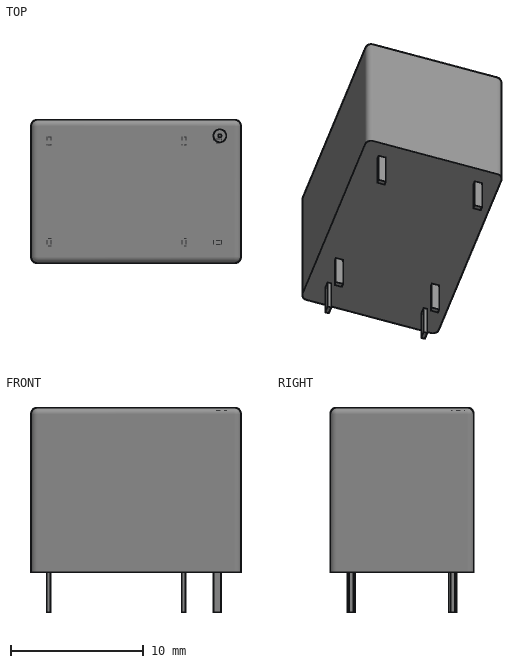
import cadquery as cq

case_length = 15.8
case_width = 10.8
case_height = 12.4
edge_radius = 0.49

pin_length = 3.0
pin_thickness = 0.3
pin_width = 0.58
pin_row_y = 3.8
coil_pin_x = -6.57
common_pin_x = 3.59
contact_pin_x = 6.11

mark_x = 6.3
mark_y = 4.19
mark_diameter = 0.96
mark_depth = 0.2
post_diameter = 0.25


def make_case():
    """Case with its bottom face at Z = 0, rounded everywhere except along the bottom."""
    block = cq.Workplane("XY").box(case_length, case_width, case_height, centered=(True, True, False))
    return block.edges("|Z or >Z").fillet(edge_radius)


def make_mark():
    """Ring-shaped cutter that leaves the central post standing."""
    return (
        cq.Workplane("XY", origin=(mark_x, mark_y, case_height - mark_depth))
        .circle(mark_diameter / 2)
        .circle(post_diameter / 2)
        .extrude(mark_depth)
    )


def make_pin_pair(x, size_x, size_y):
    """Two equal blades at the given X, one in each pin row."""
    return (
        cq.Workplane("XY")
        .pushPoints([(x, -pin_row_y), (x, pin_row_y)])
        .rect(size_x, size_y)
        .extrude(-pin_length)
    )


result = make_case().cut(make_mark())

result = result.union(make_pin_pair(coil_pin_x, pin_thickness, pin_width))
result = result.union(make_pin_pair(common_pin_x, pin_thickness, pin_width))

result = result.union(make_pin_pair(contact_pin_x, pin_width, pin_thickness))